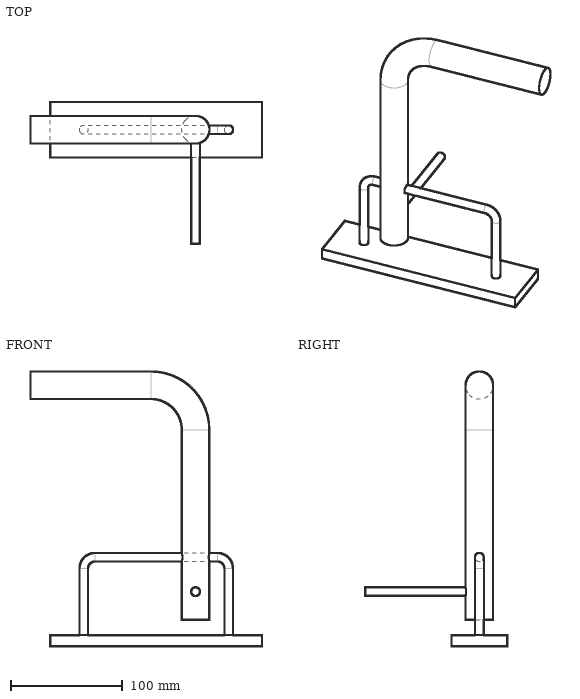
import cadquery as cq

plate_length = 190.0
plate_width = 50.0
plate_thickness = 10.0
plate_center_x = -35.2

rod_diameter = 8.0
loop_span = 130.0
loop_axis_z = 79.9
loop_bend_radius = 10.0

lever_diameter = 25.0
lever_bend_radius = 40.0
lever_top_z = 246.5
lever_bottom_z = 23.7
lever_end_x = -148.1
pin_axis_z = 49.0
pin_end_y = -102.3

lever_axis_z = lever_top_z - lever_diameter / 2


def make_wire_loop():
    """Rod bent into an upside-down U, rising from the top of the plate."""
    left_x = plate_center_x - loop_span / 2
    right_x = plate_center_x + loop_span / 2
    bend_start_z = loop_axis_z - loop_bend_radius
    path = (
        cq.Workplane("XZ")
        .moveTo(left_x, plate_thickness)
        .lineTo(left_x, bend_start_z)
        .tangentArcPoint((loop_bend_radius, loop_bend_radius))
        .lineTo(right_x - loop_bend_radius, loop_axis_z)
        .tangentArcPoint((loop_bend_radius, -loop_bend_radius))
        .lineTo(right_x, plate_thickness)
    )
    return (
        cq.Workplane("XY", origin=(left_x, 0, plate_thickness))
        .circle(rod_diameter / 2)
        .sweep(path)
    )


def make_stand(wire_loop):
    """Plate and wire loop as one body."""
    plate = (
        cq.Workplane("XY", origin=(plate_center_x, 0, 0))
        .rect(plate_length, plate_width)
        .extrude(plate_thickness)
    )
    return plate.union(wire_loop)


def make_lever(wire_loop):
    """Round bar with one right-angle bend, a pin near its foot and a cross hole for the wire."""
    path = (
        cq.Workplane("XZ")
        .moveTo(0, lever_bottom_z)
        .lineTo(0, lever_axis_z - lever_bend_radius)
        .tangentArcPoint((-lever_bend_radius, lever_bend_radius))
        .lineTo(lever_end_x, lever_axis_z)
    )
    bar = (
        cq.Workplane("XY", origin=(0, 0, lever_bottom_z))
        .circle(lever_diameter / 2)
        .sweep(path)
    )
    pin = (
        cq.Workplane("XZ", origin=(0, 0, pin_axis_z))
        .circle(rod_diameter / 2)
        .extrude(-pin_end_y)
    )
    return bar.union(pin).cut(wire_loop)


wire_loop = make_wire_loop()
stand = make_stand(wire_loop)
lever = make_lever(wire_loop)

result = cq.Compound.makeCompound([stand.val(), lever.val()])